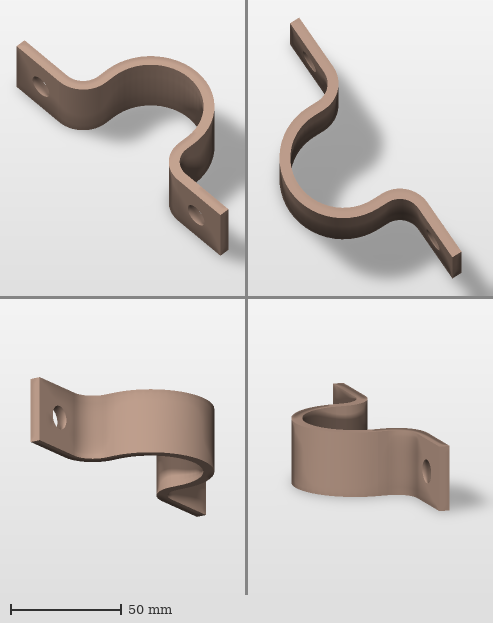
import cadquery as cq
import math


length = 134.0
depth = 49.0
width = 30.0
thickness = 5.0
arch_inner_radius = 24.0
bend_inner_radius = 10.0
hole_diameter = 11.0
hole_spacing = 102.0

arch_outer_radius = arch_inner_radius + thickness
bend_outer_radius = bend_inner_radius + thickness
foot_tip_x = length / 2
foot_start_x = arch_inner_radius + bend_outer_radius
foot_bottom_y = arch_outer_radius - depth
foot_top_y = foot_bottom_y + thickness
bend_center_y = foot_bottom_y + bend_outer_radius


def bend_midpoint(side, radius):
    """Middle of a quarter bend on the given side (-1 left, +1 right)."""
    offset = radius * math.sqrt(0.5)
    return side * (foot_start_x - offset), bend_center_y - offset


def make_strip():
    """Bent strip, with its side profile extruded across the width."""
    profile = (
        cq.Workplane("XY", origin=(0, 0, -width / 2))
        .moveTo(-foot_tip_x, foot_top_y)
        .lineTo(-foot_start_x, foot_top_y)
        .threePointArc(bend_midpoint(-1, bend_inner_radius), (-arch_outer_radius, bend_center_y))
        .lineTo(-arch_outer_radius, 0)
        .threePointArc((0, arch_outer_radius), (arch_outer_radius, 0))
        .lineTo(arch_outer_radius, bend_center_y)
        .threePointArc(bend_midpoint(1, bend_inner_radius), (foot_start_x, foot_top_y))
        .lineTo(foot_tip_x, foot_top_y)
        .lineTo(foot_tip_x, foot_bottom_y)
        .lineTo(foot_start_x, foot_bottom_y)
        .threePointArc(bend_midpoint(1, bend_outer_radius), (arch_inner_radius, bend_center_y))
        .lineTo(arch_inner_radius, 0)
        .threePointArc((0, arch_inner_radius), (-arch_inner_radius, 0))
        .lineTo(-arch_inner_radius, bend_center_y)
        .threePointArc(bend_midpoint(-1, bend_outer_radius), (-foot_start_x, foot_bottom_y))
        .lineTo(-foot_tip_x, foot_bottom_y)
        .close()
    )
    return profile.extrude(width)


def make_foot_holes():
    """Two cylinders along Y that pass through the feet only."""
    return (
        cq.Workplane("XZ", origin=(0, foot_top_y, 0))
        .pushPoints([(side * hole_spacing / 2, 0) for side in (-1, 1)])
        .circle(hole_diameter / 2)
        .extrude(thickness)
    )


result = make_strip().cut(make_foot_holes())